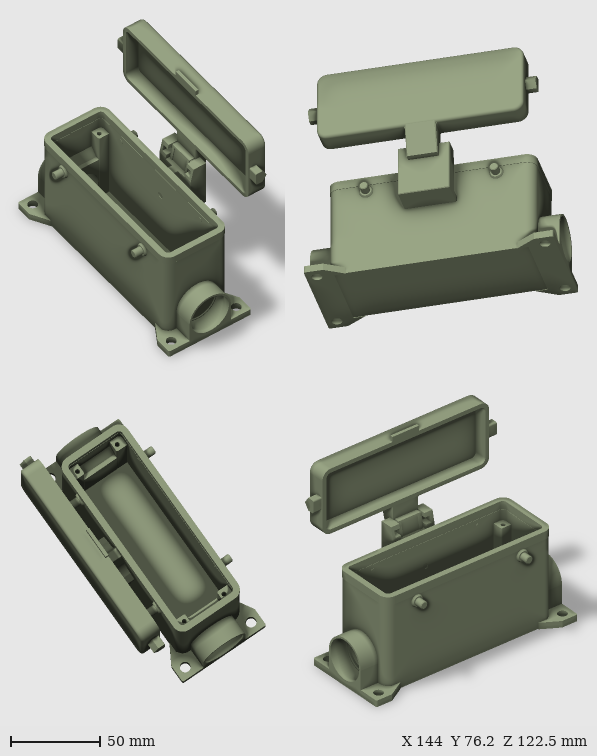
import cadquery as cq
import math

box_length = 119.2
box_width = 43.2
box_corner_radius = 5.9
box_underside = 0.5
housing_height = 63.2
rim_height = 5.3
rim_overhang = 0.3
cavity_length = 112.0
cavity_width = 36.3
cavity_corner_radius = 2.5
lower_cavity_inset = 0.1
floor_top = 4.3
inner_wall_y = cavity_width / 2 - lower_cavity_inset

overall_length = 144.0
flange_width = 56.9
flange_thickness = 4.3
flange_edge_length = 11.1
flange_taper_end = 49.2
flange_corner_radius = 1.0
mount_hole_diameter = 6.0
mount_hole_x = 65.8
mount_hole_y = 22.5

port_radius = 14.3
port_axis_z = 17.1
port_bore_radius = 13.0
port_bore_depth = 11.5
port_relief_radius = 12.4
port_relief_depth = 12.4
port_hole_radius = 10.5

post_size = 7.2
post_top = 50.7
post_edge_radius = 0.9
post_hole_diameter = 2.7
post_hole_depth = 11.5
post_hole_x = 52.1
post_hole_y = 13.5
ledge_top = 34.1
ledge_slope_start = 51.4
ledge_slope_top = 39.2

peg_x = 37.6
peg_z = 53.7
peg_radius = 2.5
peg_tip_y = 28.2
peg_tip_chamfer = 0.5
peg_collar_base_radius = 4.0
peg_collar_top_radius = 3.3
peg_collar_height = 1.3
peg_tail_radius = 1.3
peg_tail_height = 0.1

stud_radius = 1.9
stud_z = 41.8
stud_recess = 0.3

lid_length = 119.2
lid_bottom = 76.2
lid_top = 119.2
lid_front_y = 35.4
lid_back_y = 47.8
lid_corner_radius = 5.9
lid_back_radius = 1.7
lid_wall = 2.7
lid_cavity_depth = 8.6
lid_cavity_radius = 3.2
tab_length = 19.0
tab_top = 122.5
tab_thickness = 2.0

side_lug_end_x = 65.7
side_lug_z = 97.8
side_lug_height = 8.5
side_lug_front_y = 36.1
side_lug_shoulder_y = 40.6
side_lug_tip_y = 43.6
side_lug_edge_radius = 1.0

boss_face_y = 28.1
boss_bottom = 38.3
boss_side_top = 41.0
boss_shoulder_x = 11.1
boss_shoulder_z = 43.2
boss_fillet_radius = 5.9
boss_top_half = 2.7
boss_top = 57.5

tongue_width = 17.9
tongue_front_y = 35.7
tongue_foot_y = 42.8
tongue_bottom = 58.6
tongue_edge_chamfer = 0.6
tongue_flare = 0.9
bracket_width = 29.7
bracket_back_y = 39.0
bracket_top = 67.4
bracket_top_front_y = 30.1
bracket_slope_bottom = 58.3
bracket_bottom = 36.5
bracket_toe_y = 23.8
bracket_edge_chamfer = 0.5
bridge_front_y = 32.3
bridge_foot_y = 30.2
bridge_face_width = 15.5
bridge_recess = 0.6
window_width = 12.1
window_top = 66.5
cheek_pocket_outer_x = 13.0
cheek_pocket_bottom = 60.5
cheek_pocket_top = 64.7
cheek_pocket_floor_y = 33.8


def block(x_min, x_max, y_min, y_max, z_min, z_max):
    """Axis-aligned box between two corners."""
    size = (x_max - x_min, y_max - y_min, z_max - z_min)
    return cq.Workplane("XY").box(*size, centered=False).translate((x_min, y_min, z_min))


def rounded_prism(length, width, radius, z_min, z_max):
    """Upright prism centred on Z, with rounded vertical edges."""
    return block(-length / 2, length / 2, -width / 2, width / 2, z_min, z_max).edges("|Z").fillet(radius)


def side_profile(points, width):
    """Outline of (y, z) points, extruded to the given X width about X = 0."""
    return cq.Workplane("YZ").polyline(points).close().extrude(width / 2, both=True)


def rod(start, direction, radius, length):
    """Cylinder from a start point along a direction."""
    return cq.Workplane(cq.Solid.makeCylinder(radius, length, cq.Vector(*start), cq.Vector(*direction)))


def both_ends(feature):
    """A feature at +X together with its mirror image at -X."""
    return feature.union(feature.mirror("YZ"))


def box_shell():
    rim_bottom = housing_height - rim_height
    rim_grow = 2 * rim_overhang
    lower_shrink = 2 * lower_cavity_inset
    shell = rounded_prism(box_length, box_width, box_corner_radius, box_underside, housing_height)
    shell = shell.union(rounded_prism(
        box_length + rim_grow, box_width + rim_grow, box_corner_radius + rim_overhang, rim_bottom, housing_height))
    shell = shell.cut(rounded_prism(
        cavity_length, cavity_width, cavity_corner_radius, rim_bottom, housing_height))
    return shell.cut(rounded_prism(
        cavity_length - lower_shrink, cavity_width - lower_shrink, cavity_corner_radius, floor_top, rim_bottom))


def end_flange():
    outer_x = overall_length / 2
    taper_x = outer_x - flange_edge_length
    half_width = flange_width / 2
    half_box = box_width / 2
    inner_x = cavity_length / 2
    outline = [
        (inner_x, -half_box), (flange_taper_end, -half_box), (taper_x, -half_width), (outer_x, -half_width),
        (outer_x, half_width), (taper_x, half_width), (flange_taper_end, half_box), (inner_x, half_box),
    ]
    flange = cq.Workplane("XY").polyline(outline).close().extrude(flange_thickness)
    flange = flange.edges("|Z and >X").fillet(flange_corner_radius)
    holes = (cq.Workplane("XY").pushPoints([(mount_hole_x, mount_hole_y), (mount_hole_x, -mount_hole_y)])
             .circle(mount_hole_diameter / 2).extrude(flange_thickness))
    return flange.cut(holes)


def port_body():
    inner_x = cavity_length / 2
    outer_x = overall_length / 2
    barrel = rod((inner_x, 0, port_axis_z), (1, 0, 0), port_radius, outer_x - inner_x)
    return barrel.union(block(inner_x, outer_x, -port_radius, port_radius, 0, port_axis_z))


def port_bore():
    mouth = (overall_length / 2, 0, port_axis_z)
    bore = rod(mouth, (-1, 0, 0), port_bore_radius, port_bore_depth)
    return bore.union(rod(mouth, (-1, 0, 0), port_relief_radius, port_relief_depth))


def end_posts():
    inner_x = cavity_length / 2 - post_size
    wall_y = cavity_width / 2
    posts = None
    for side in (1, -1):
        y_edges = sorted((side * wall_y, side * (wall_y - post_size)))
        post = block(inner_x, cavity_length / 2, *y_edges, floor_top, post_top)
        inner_edge = "|Z and <X and " + ("<Y" if side > 0 else ">Y")
        post = post.edges(inner_edge).fillet(post_edge_radius)
        post = post.cut(rod((post_hole_x, side * post_hole_y, post_top), (0, 0, -1),
                            post_hole_diameter / 2, post_hole_depth))
        posts = post if posts is None else posts.union(post)
    return posts.intersect(rounded_prism(box_length, box_width, box_corner_radius, floor_top, post_top))


def end_ledge():
    inner_x = cavity_length / 2 - post_size
    wall_x = cavity_length / 2
    outline = [(inner_x, floor_top), (wall_x, floor_top), (wall_x, ledge_slope_top),
               (ledge_slope_start, ledge_top), (inner_x, ledge_top)]
    half_span = cavity_width / 2 - post_size
    return cq.Workplane("XZ").polyline(outline).close().extrude(half_span, both=True)


def peg(x, side):
    wall_y = box_width / 2
    outward = (0, side, 0)
    pin = rod((x, side * wall_y, peg_z), outward, peg_radius, peg_tip_y - wall_y)
    pin = pin.faces(">Y" if side > 0 else "<Y").chamfer(peg_tip_chamfer)
    collar = cq.Solid.makeCone(peg_collar_base_radius, peg_collar_top_radius, peg_collar_height,
                               cq.Vector(x, side * wall_y, peg_z), cq.Vector(*outward))
    return pin.union(cq.Workplane(collar))


def peg_tail(x, side):
    start = (x, side * box_width / 2, peg_z)
    return rod(start, (0, -side, 0), peg_tail_radius, box_width / 2 - inner_wall_y + peg_tail_height)


def make_housing():
    body = box_shell()
    body = body.union(both_ends(end_posts().union(end_ledge())))
    cavity = rounded_prism(cavity_length, cavity_width, cavity_corner_radius, floor_top, housing_height)
    body = body.union(both_ends(end_flange().union(port_body())).cut(cavity))
    body = body.cut(both_ends(port_bore()))
    knockout_depth = overall_length / 2 - cavity_length / 2 + post_size
    body = body.cut(rod((-overall_length / 2, 0, port_axis_z), (1, 0, 0), port_hole_radius, knockout_depth))
    for x in (-peg_x, peg_x):
        for side in (-1, 1):
            body = body.union(peg(x, side)).union(peg_tail(x, side))
    return body.cut(rod((0, inner_wall_y, stud_z), (0, 1, 0), stud_radius, box_width / 2 - inner_wall_y))


def lid():
    half_length = lid_length / 2
    shell = block(-half_length, half_length, lid_front_y, lid_back_y, lid_bottom, lid_top)
    shell = shell.edges("|Y").fillet(lid_corner_radius).faces(">Y").edges().fillet(lid_back_radius)
    inner_half = half_length - lid_wall
    cavity = block(-inner_half, inner_half, lid_front_y, lid_front_y + lid_cavity_depth,
                   lid_bottom + lid_wall, lid_top - lid_wall)
    shell = shell.cut(cavity.edges("|Y").fillet(lid_cavity_radius))
    tab = block(-tab_length / 2, tab_length / 2, lid_front_y, lid_front_y + tab_thickness,
                lid_top - lid_wall, tab_top)
    return shell.union(tab)


def side_lug():
    bottom = side_lug_z - side_lug_height / 2
    top = side_lug_z + side_lug_height / 2
    outline = [(side_lug_front_y, bottom), (side_lug_shoulder_y, bottom), (side_lug_tip_y, side_lug_z),
               (side_lug_shoulder_y, top), (side_lug_front_y, top)]
    root_x = lid_length / 2 - lid_wall
    lug = (cq.Workplane("YZ", origin=(root_x, 0, 0)).polyline(outline).close()
           .extrude(side_lug_end_x - root_x))
    return lug.edges("|X and <Y").fillet(side_lug_edge_radius)


def tongue():
    root_z = lid_bottom + lid_back_radius
    outline = [(tongue_front_y, lid_bottom + lid_wall), (tongue_front_y, tongue_bottom),
               (tongue_foot_y, tongue_bottom), (lid_back_y, root_z),
               (lid_back_y - lid_back_radius, lid_bottom + lid_wall)]
    arm = side_profile(outline, tongue_width)
    foot = cq.Vector(0, tongue_foot_y, tongue_bottom)
    root = cq.Vector(0, lid_back_y, root_z)
    back_face = cq.selectors.NearestToPointSelector(((foot + root) / 2).toTuple())
    arm = arm.faces(back_face).edges("not |X").chamfer(tongue_edge_chamfer)

    half_width = tongue_width / 2
    flare_outline = [(-half_width, lid_bottom - tongue_flare), (half_width, lid_bottom - tongue_flare),
                     (half_width + tongue_flare, lid_bottom), (-half_width - tongue_flare, lid_bottom)]
    flare_end_y = lid_back_y - lid_back_radius
    flare = (cq.Workplane("XZ", origin=(0, flare_end_y, 0)).polyline(flare_outline).close()
             .extrude(flare_end_y - tongue_front_y))
    return arm.union(flare)


def hinge_boss():
    half_width = bracket_width / 2
    crown_x = boss_shoulder_x - boss_fillet_radius
    crown_z = boss_shoulder_z + boss_fillet_radius
    sweep = boss_fillet_radius * math.sin(math.radians(45))
    mid_x = boss_shoulder_x - sweep
    mid_z = crown_z - sweep
    depth = boss_face_y - box_width / 2
    return (cq.Workplane("XZ", origin=(0, boss_face_y, 0))
            .moveTo(-half_width, boss_bottom)
            .lineTo(half_width, boss_bottom)
            .lineTo(half_width, boss_side_top)
            .lineTo(boss_shoulder_x, boss_shoulder_z)
            .threePointArc((mid_x, mid_z), (crown_x, crown_z))
            .lineTo(boss_top_half, boss_top)
            .lineTo(-boss_top_half, boss_top)
            .lineTo(-crown_x, crown_z)
            .threePointArc((-mid_x, mid_z), (-boss_shoulder_x, boss_shoulder_z))
            .lineTo(-half_width, boss_side_top)
            .close().extrude(depth))


def hinge_stud():
    inner_end_y = inner_wall_y + stud_recess
    return rod((0, inner_end_y, stud_z), (0, 1, 0), stud_radius, boss_face_y - inner_end_y)


def bridge_front_cut(x_min, x_max, setback, top_z):
    """Space in front of the sloping bridge face, the face being moved back by setback."""
    slope = (bridge_front_y - bridge_foot_y) / (bracket_top - boss_top)
    top_y = bridge_foot_y + slope * (top_z - boss_top) + setback
    outline = [(boss_face_y, boss_top), (bridge_foot_y + setback, boss_top),
               (top_y, top_z), (boss_face_y, top_z)]
    return cq.Workplane("YZ", origin=(x_min, 0, 0)).polyline(outline).close().extrude(x_max - x_min)


def bracket():
    outline = [(bracket_back_y, bracket_bottom), (bracket_back_y, bracket_top),
               (bracket_top_front_y, bracket_top), (boss_face_y, bracket_slope_bottom),
               (boss_face_y, boss_bottom), (bracket_toe_y, boss_bottom), (bracket_toe_y, bracket_bottom)]
    body = side_profile(outline, bracket_width)
    body = body.faces(">Y").edges().chamfer(bracket_edge_chamfer)

    half_gap = tongue_width / 2
    half_face = bridge_face_width / 2
    half_window = window_width / 2
    body = body.cut(bridge_front_cut(-half_gap, half_gap, 0, bracket_top))
    body = body.cut(both_ends(bridge_front_cut(half_face, half_gap, bridge_recess, bracket_top)))
    body = body.cut(bridge_front_cut(-half_window, half_window, bridge_recess, window_top))
    shoulder_top = block(half_face, half_gap, bridge_foot_y, tongue_front_y,
                         bracket_top - bridge_recess, bracket_top)
    body = body.cut(both_ends(shoulder_top))

    pocket = block(half_gap, cheek_pocket_outer_x, boss_face_y, cheek_pocket_floor_y,
                   cheek_pocket_bottom, cheek_pocket_top)
    return body.cut(both_ends(pocket))


def make_cover():
    return lid().union(both_ends(side_lug())).union(bracket()).union(tongue()).union(hinge_boss()).union(hinge_stud())


housing = make_housing()
cover = make_cover()
result = cq.Compound.makeCompound([housing.solids().val(), cover.solids().val()])